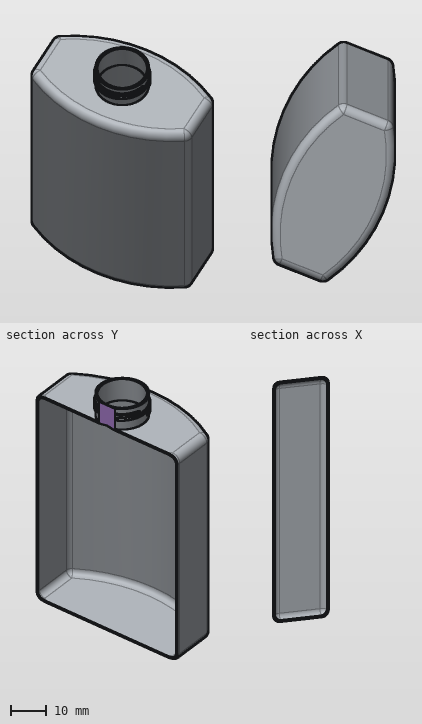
import cadquery as cq
import math

width = 50.0
thickness = 30.0
total_height = 77.0
neck_height = 7.0
shoulder_height = total_height - neck_height
side_half_width = thickness / 4
edge_radius = thickness / 12

neck_diameter = 15.0
neck_bore_diameter = 13.8
wall = (neck_diameter - neck_bore_diameter) / 2

thread_outer_diameter = 15.8
thread_pitch = neck_height / 4
thread_half_sweep = math.radians(347)
thread_mid_height = shoulder_height + neck_height / 2
thread_root_height = neck_height / 10
thread_crest_height = thread_root_height / 4
thread_spline_steps = 48


def make_bottle():
    """Hollow flask with two flat ends, two bowed faces, rounded edges and an open neck."""
    half_width = width / 2
    half_thickness = thickness / 2
    flask = (
        cq.Workplane("XY")
        .moveTo(-half_width, -side_half_width)
        .threePointArc((0, -half_thickness), (half_width, -side_half_width))
        .lineTo(half_width, side_half_width)
        .threePointArc((0, half_thickness), (-half_width, side_half_width))
        .close()
        .extrude(shoulder_height)
        .edges()
        .fillet(edge_radius)
    )
    neck = (
        cq.Workplane("XY", origin=(0, 0, shoulder_height))
        .circle(neck_diameter / 2)
        .extrude(neck_height)
    )
    return flask.union(neck).faces(">Z").shell(-wall)


def thread_edge(diameter, ridge_height):
    """Helical curve raised by a half-ellipse of the given height; zero gives the plain helix."""
    radius = diameter / 2
    points = []
    for step in range(thread_spline_steps + 1):
        phase = math.pi * step / thread_spline_steps
        angle = -thread_half_sweep * math.cos(phase)
        helix_height = thread_mid_height + thread_pitch * angle / (2 * math.pi)
        z = helix_height + ridge_height * math.sin(phase)
        points.append(cq.Vector(radius * math.cos(angle), radius * math.sin(angle), z))
    return cq.Edge.makeSpline(points)


def make_thread():
    """Ridge lying on the neck, bounded by four ruled faces."""
    root_lower = thread_edge(neck_diameter, 0)
    root_upper = thread_edge(neck_diameter, thread_root_height)
    crest_lower = thread_edge(thread_outer_diameter, 0)
    crest_upper = thread_edge(thread_outer_diameter, thread_crest_height)
    root = cq.Face.makeRuledSurface(root_lower, root_upper)
    crest = cq.Face.makeRuledSurface(crest_lower, crest_upper)
    underside = cq.Face.makeRuledSurface(root_lower, crest_lower)
    slope = cq.Face.makeRuledSurface(root_upper, crest_upper)
    return cq.Solid.makeSolid(cq.Shell.makeShell([root, crest, underside, slope]))


bottle = make_bottle()
thread = make_thread()

result = cq.Compound.makeCompound([bottle.val(), thread])